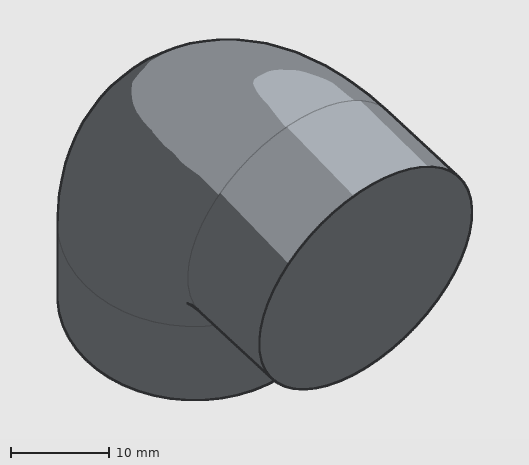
import cadquery as cq

overall_size = 41.5
diameter = 28.0
straight_length = 11.5

radius = diameter / 2
bend_radius = overall_size - straight_length - radius

centreline = (
    cq.Workplane("XZ")
    .lineTo(0, straight_length)
    .radiusArc((bend_radius, straight_length + bend_radius), bend_radius)
    .lineTo(bend_radius + straight_length, straight_length + bend_radius)
)

result = cq.Workplane("XY").circle(radius).sweep(centreline)